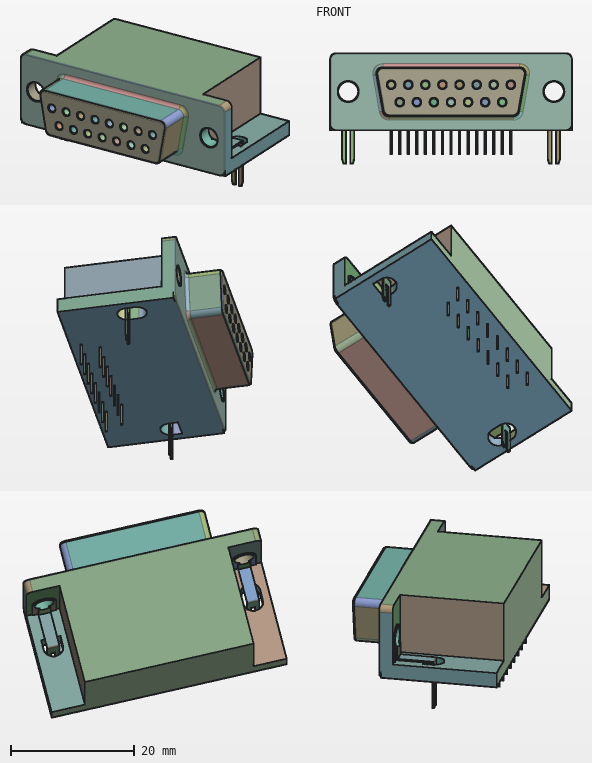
import cadquery as cq
import math


width = 39.2
height = 12.5
overall_height = 17.9
depth = 19.52
body_width = 28.15
ledge_height = 2.5
flange_depth = 2.27
plate_depth = 0.3
corner_radius = 1.0
plate_edge_radius = 0.1

nose_length = 6.08
nose_bottom = 2.27
nose_height = 7.95
nose_top_half_width = 12.3
nose_side_angle = 10
nose_corner_radius = 1.0
nose_root_radius = 0.6
nose_edge_radius = 0.1
insert_inset = 0.15
insert_proud = 0.25

upper_count = 8
lower_count = 7
upper_row_span = 19.35
contact_pitch = upper_row_span / (upper_count - 1)
upper_row_z = 7.35
lower_row_z = 4.55
socket_diameter = 1.2
socket_depth = 3.92
socket_chamfer = 0.1

pin_diameter = 0.3
pin_length = 3.92
pin_tip_chamfer = 0.08
upper_pin_y = 17.7
lower_pin_y = 14.85

mount_x = 16.65
mount_z = 6.27
mount_diameter = 3.2
mount_chamfer = 0.1
slot_width = 3.2
slot_back_center_y = 8.6
slot_front_center_y = 6.98
lock_pad_diameter = 4.0
lock_pad_proud = 0.15
lock_thickness = 0.27
lock_width = 2.05
lock_back_y = 8.65
lock_bend_radius = 0.15
prong_gap = 0.65
prong_bottom = height - overall_height
prong_tip_inset = 0.25
prong_tip_height = 0.8

overlap = 0.2


def box(x_center, x_size, y_min, y_max, z_min, z_max):
    """Box centred on x_center and spanning the given y and z ranges."""
    solid = cq.Workplane("XY").box(x_size, y_max - y_min, z_max - z_min, centered=(True, False, False))
    return solid.translate((x_center, y_min, z_min))


def cylinder_y(x, z, diameter, y_min, y_max):
    """Cylinder running along Y from y_min to y_max."""
    plane = cq.Workplane("XZ", origin=(x, y_max, z))
    return plane.circle(diameter / 2).extrude(y_max - y_min)


def row_positions(count):
    """X positions of a centred row of contacts."""
    return [(i - (count - 1) / 2) * contact_pitch for i in range(count)]


def make_housing():
    """Central block with a low ledge on each side and the moulded flange in front."""
    body = box(0, body_width, flange_depth, depth, 0, height)
    ledges = box(0, width, flange_depth, depth, 0, ledge_height)
    flange = box(0, width, plate_depth, flange_depth, 0, height)
    flange = flange.edges("|Y and >Z").fillet(corner_radius)
    return flange.union(body).union(ledges)


def make_nose_block(inset, length):
    """D-shaped block reaching forward from the back of the plate to y = -length.

    The inset moves every side of the outline inward.
    """
    side_angle = math.radians(nose_side_angle)
    top = nose_bottom + nose_height
    bottom_half_width = nose_top_half_width - nose_height * math.tan(side_angle)
    outline = [
        (-nose_top_half_width, top),
        (nose_top_half_width, top),
        (bottom_half_width, nose_bottom),
        (-bottom_half_width, nose_bottom),
    ]
    sketch = cq.Workplane("XZ", origin=(0, plate_depth, 0)).polyline(outline).close()
    if inset > 0:
        sketch = sketch.offset2D(-inset)
    block = sketch.extrude(plate_depth + length)
    return block.edges("|Y").fillet(nose_corner_radius - inset)


def make_front_shell():
    """Thin front plate blended into the D-shaped shell, with the contact insert standing proud."""
    plate = box(0, width, 0, plate_depth, 0, height)
    plate = plate.edges("|Y").fillet(corner_radius)
    plate = plate.faces("<Y").edges().fillet(plate_edge_radius)

    nose = make_nose_block(0, nose_length - insert_proud)
    nose = nose.faces("<Y").edges().fillet(nose_edge_radius)
    shell = plate.union(nose)
    root_margin = 0.05
    nose_root = cq.selectors.BoxSelector(
        (-nose_top_half_width, -root_margin, nose_bottom - root_margin),
        (nose_top_half_width, root_margin, nose_bottom + nose_height + root_margin),
    )
    shell = shell.edges(nose_root).fillet(nose_root_radius)
    insert = make_nose_block(insert_inset, nose_length)
    insert = insert.faces("<Y").edges().fillet(nose_edge_radius)
    return shell.union(insert)


def make_chamfered_bore(x, z, diameter, chamfer, y_front, length):
    """Bore cutter running along Y from y_front, with a chamfered mouth."""
    radius = diameter / 2
    profile = [
        (0, 0),
        (radius + chamfer, 0),
        (radius, chamfer),
        (radius, length),
        (0, length),
    ]
    bore = cq.Workplane("XY").polyline(profile).close().revolve(360, (0, 0, 0), (0, 1, 0))
    return bore.translate((x, y_front, z))


def make_pin(x, y):
    """Round solder pin below the housing, with a chamfered tip."""
    pin = cq.Workplane("XY", origin=(x, y, -pin_length)).circle(pin_diameter / 2)
    pin = pin.extrude(pin_length + overlap)
    return pin.faces("<Z").chamfer(pin_tip_chamfer)


def make_slot(x, front_is_round):
    """Slot cutter through a ledge: round at the back, round or square at the front."""
    cutter = box(x, slot_width, slot_front_center_y, slot_back_center_y, 0, ledge_height)
    round_ends = [slot_back_center_y]
    if front_is_round:
        round_ends.append(slot_front_center_y)
    for y in round_ends:
        end = cq.Workplane("XY", origin=(x, y, 0)).circle(slot_width / 2).extrude(ledge_height)
        cutter = cutter.union(end)
    return cutter


def make_board_lock(x):
    """Bent strap behind the flange: pad around the mounting hole, foot on the ledge, two prongs."""
    pad_front = flange_depth - overlap
    pad_back = flange_depth + lock_pad_proud
    pad = cylinder_y(x, mount_z, lock_pad_diameter, pad_front, pad_back)
    pad = pad.union(box(x, lock_pad_diameter, pad_front, pad_back, ledge_height - overlap, mount_z))

    strap_back = pad_back + lock_thickness
    foot_top = ledge_height + lock_thickness
    strap_top = mount_z - mount_diameter / 2 + overlap
    strap = box(x, lock_width, pad_front, strap_back, ledge_height - overlap, strap_top)
    foot = box(x, lock_width, pad_front, lock_back_y, ledge_height, foot_top)
    leg = box(x, lock_width, lock_back_y - lock_thickness, lock_back_y, prong_bottom, foot_top)
    bent = foot.union(leg).edges("|X and >Y and >Z").fillet(lock_bend_radius)

    half_width = lock_width / 2
    gap = box(x, prong_gap, 0, depth, prong_bottom, 0)
    bent = bent.cut(gap)
    for side in (-1, 1):
        outer = x + side * half_width
        tip = [
            (outer, prong_bottom),
            (outer, prong_bottom + prong_tip_height),
            (outer - side * prong_tip_inset, prong_bottom),
        ]
        bent = bent.cut(cq.Workplane("XZ", origin=(0, depth, 0)).polyline(tip).close().extrude(depth))
    return pad.union(strap).union(bent)


result = make_housing().union(make_front_shell())

for side in (-1, 1):
    lock_x = side * mount_x
    result = result.cut(make_slot(lock_x, front_is_round=side < 0))
    result = result.union(make_board_lock(lock_x))
    mount_hole = make_chamfered_bore(lock_x, mount_z, mount_diameter, mount_chamfer, 0, lock_back_y)
    result = result.cut(mount_hole)

contact_rows = (
    (upper_count, upper_row_z, upper_pin_y),
    (lower_count, lower_row_z, lower_pin_y),
)
for count, row_z, pin_y in contact_rows:
    for contact_x in row_positions(count):
        socket = make_chamfered_bore(
            contact_x, row_z, socket_diameter, socket_chamfer, -nose_length, socket_depth
        )
        result = result.cut(socket)
        result = result.union(make_pin(contact_x, pin_y))